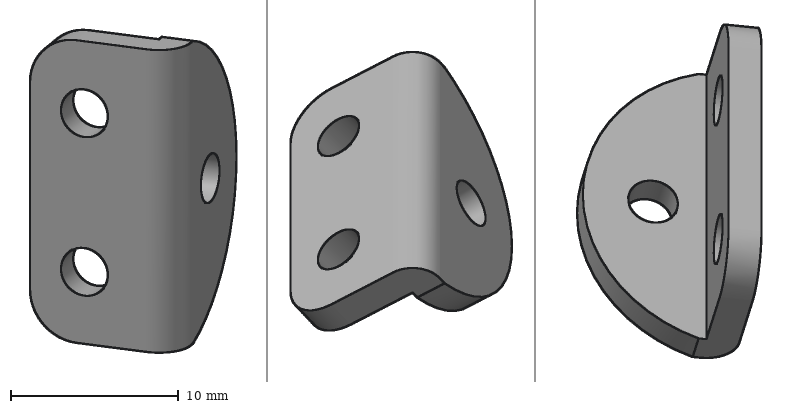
import cadquery as cq
import math

height = 19.1
leg_length = 9.5
thickness = 2.0

bend_radius = thickness
corner_radius = 3.0
dome_radius = 10.0

hole_diameter = 3.0
front_hole_inset = 3.5
front_hole_spacing = 10.0
side_hole_offset = 5.23

half_height = height / 2
dome_center_y = leg_length - dome_radius
dome_start_y = dome_center_y + math.sqrt(dome_radius**2 - half_height**2)


def make_front_leg():
    """Flat plate with rounded free corners and two holes."""
    plate = cq.Workplane("XY").box(leg_length, thickness, height, centered=(False, False, True))
    plate = plate.edges("|Y and <X").fillet(corner_radius)
    holes = (
        cq.Workplane("XZ")
        .pushPoints([(front_hole_inset, side * front_hole_spacing / 2) for side in (-1, 1)])
        .circle(hole_diameter / 2)
        .extrude(-thickness)
    )
    return plate.cut(holes)


def make_side_leg():
    """Plate whose free edge is one large arc, with a single central hole."""
    return (
        cq.Workplane("YZ", origin=(leg_length - thickness, 0, 0))
        .moveTo(0, -half_height)
        .lineTo(dome_start_y, -half_height)
        .threePointArc((leg_length, 0), (dome_start_y, half_height))
        .lineTo(0, half_height)
        .close()
        .moveTo(side_hole_offset, 0)
        .circle(hole_diameter / 2)
        .extrude(thickness)
    )


bracket = make_front_leg().union(make_side_leg(), clean=True)

bend_edge = cq.selectors.NearestToPointSelector((leg_length, 0, 0))
result = bracket.edges(bend_edge).fillet(bend_radius)